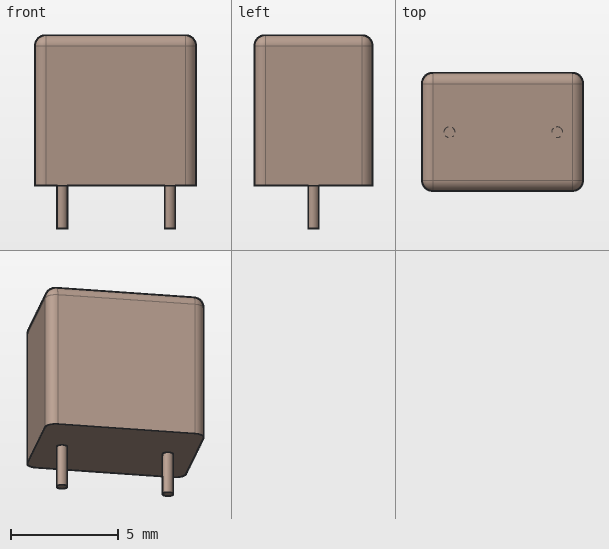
import cadquery as cq

total_height = 9.0
body_length = 7.5
body_width = 5.5
edge_radius = 0.5
pin_length = 2.0
pin_diameter = 0.5
pin_pitch = 5.0
pin_row_offset = 0.03

body_height = total_height - pin_length


def make_body():
    """Box standing on Z = 0, rounded everywhere except around its flat base."""
    box = cq.Workplane("XY").box(body_length, body_width, body_height, centered=(True, True, False))
    return box.edges("|Z or >Z").fillet(edge_radius)


def make_pin(x):
    """Round lead hanging below the base, on the body's long centre line."""
    return cq.Workplane("XY").center(x, 0).circle(pin_diameter / 2).extrude(-pin_length)


result = make_body()
for side in (-1, 1):
    result = result.union(make_pin(pin_row_offset + side * pin_pitch / 2))